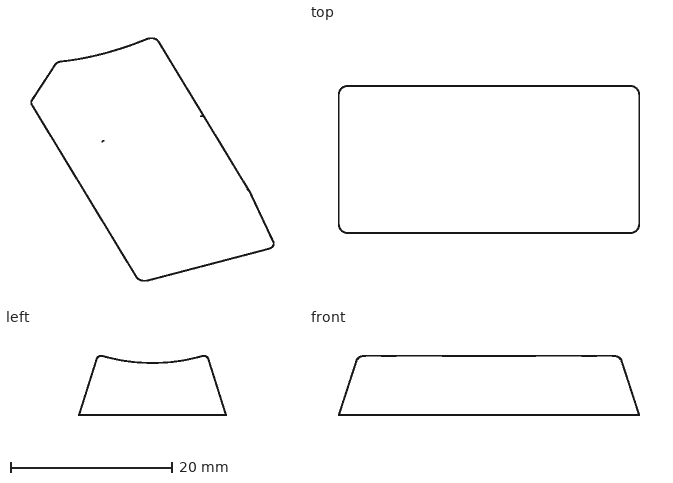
import cadquery as cq
import math

base_length = 37.35
base_width = 18.3

end_wall_draft = 18.0
long_wall_draft = 17.5

blank_height = 9.0

dish_radius = 22.0
dish_floor = 6.48

corner_radius = 1.2
rim_radius = 0.63


def top_size(base_size, draft):
    """Size of the blank's top across two opposite walls of the given draft."""
    return base_size - 2 * blank_height * math.tan(math.radians(draft))


def tapered_blank():
    """Rectangular block with drafted walls and rounded slanted corner edges."""
    blank = (
        cq.Workplane("XY")
        .rect(base_length, base_width)
        .workplane(offset=blank_height)
        .rect(top_size(base_length, end_wall_draft), top_size(base_width, long_wall_draft))
        .loft(ruled=True)
    )
    slanted_edges = blank.edges("not(#Z)")
    return slanted_edges.fillet(corner_radius)


def dish_cutter():
    """Cylinder along X whose lowest line lies at the dish floor."""
    return (
        cq.Workplane("YZ")
        .center(0, dish_floor + dish_radius)
        .circle(dish_radius)
        .extrude(base_length / 2, both=True)
    )


def round_rim(body):
    """Round every edge where the dish meets the walls and corners."""
    dish_face = body.faces(">Z")
    return dish_face.edges().fillet(rim_radius)


dished_blank = tapered_blank().cut(dish_cutter())
result = round_rim(dished_blank)